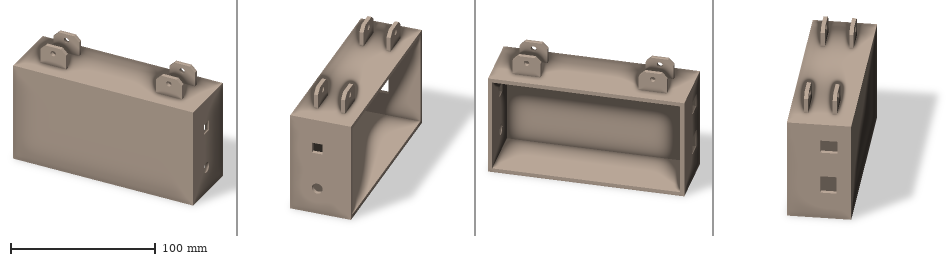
import cadquery as cq

length = 140.0
depth = 45.0
overall_height = 90.0
tab_height = 15.0
wall = 3.0
body_height = overall_height - tab_height

tab_width = 20.0
tab_thickness = 3.0
tab_chamfer = 4.0
tab_hole_diameter = 4.0
tab_hole_drop = 5.0
tab_spacing_x = 90.0
tab_spacing_y = 20.0
front_tab_setback = 13.5
front_tab_y = -depth / 2 + front_tab_setback

window_inner_y = -1.0
upper_window_width = 11.8
upper_window_height = 9.7
upper_window_drop = 12.9
lower_window_width = 11.3
lower_window_height = 13.2
lower_window_drop = 41.6

opening_width = 8.0
opening_setback = 20.0
opening_y = -depth / 2 + opening_setback
round_opening_z = 20.0
square_opening_drop = 18.8


def housing():
    """Box with an even wall on every side except the open +Y side."""
    outer = cq.Workplane("XY").box(length, depth, body_height, centered=(True, True, False))
    return outer.faces(">Y").shell(-wall)


def tab(x, y):
    """Upright tab with chamfered top corners and a cross hole, rooted in the top wall."""
    plate = (
        cq.Workplane("XY")
        .box(tab_width, tab_thickness, tab_height + wall, centered=(True, True, False))
        .edges("|Y and >Z")
        .chamfer(tab_chamfer)
        .translate((x, y, body_height - wall))
    )
    hole = (
        cq.Workplane("XZ")
        .center(x, overall_height - tab_hole_drop)
        .circle(tab_hole_diameter / 2)
        .extrude(tab_thickness, both=True)
        .translate((0, y, 0))
    )
    return plate.cut(hole)


def wall_cutter(wall_x, center_y, top_drop, width, height):
    """Block that pierces the end wall at wall_x, its top a given drop below the body top."""
    center_z = body_height - top_drop - height / 2
    return cq.Workplane("XY").box(2 * wall, width, height).translate((wall_x, center_y, center_z))


result = housing()

for tab_x in (-tab_spacing_x / 2, tab_spacing_x / 2):
    for tab_y in (front_tab_y, front_tab_y + tab_spacing_y):
        result = result.union(tab(tab_x, tab_y))

for drop, width, height in (
    (upper_window_drop, upper_window_width, upper_window_height),
    (lower_window_drop, lower_window_width, lower_window_height),
):
    window_center_y = window_inner_y - width / 2
    result = result.cut(wall_cutter(-length / 2, window_center_y, drop, width, height))

square_opening = wall_cutter(length / 2, opening_y, square_opening_drop, opening_width, opening_width)
round_opening = (
    cq.Workplane("YZ", origin=(length / 2, opening_y, round_opening_z))
    .circle(opening_width / 2)
    .extrude(wall, both=True)
)
result = result.cut(square_opening).cut(round_opening)